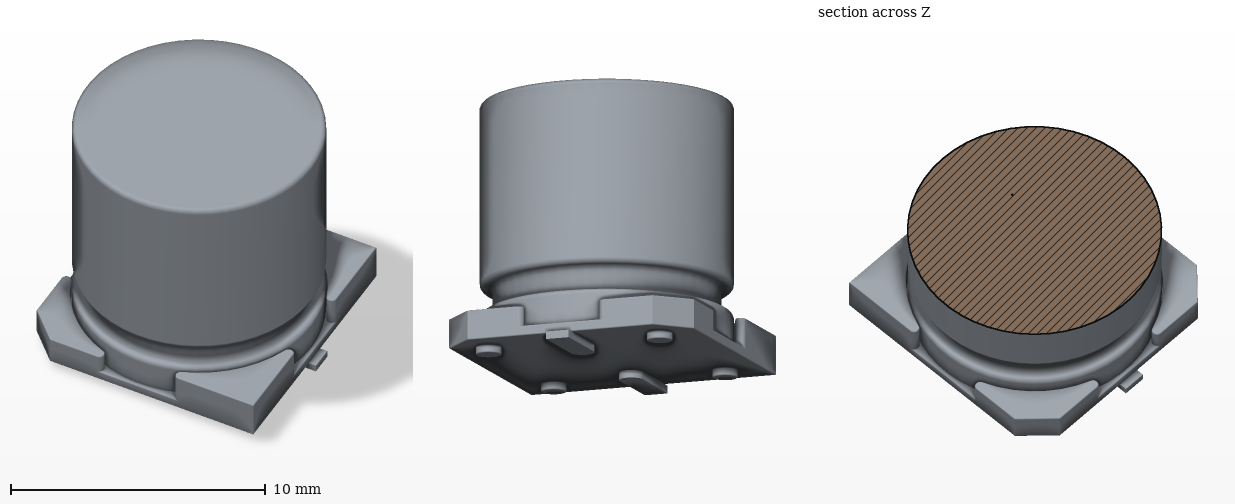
import cadquery as cq

lead_span = 10.9
base_width = 10.3
total_height = 10.5

can_diameter = 10.0
neck_diameter = 9.0
neck_bottom = 2.05
neck_top = 3.1
can_rounding = 0.2

base_bottom = 0.3
floor_height = 0.7
low_corner_height = 1.49
tall_corner_height = 1.9
corner_chamfer = 1.25
seat_diameter = 10.1
notch_half_width = 1.6
corner_tip_rounding = 0.2
edge_rounding = 0.05

lead_width = 0.96
lead_length = 3.23
pin_diameter = 1.0
pin_offset = 3.6
pin_root_fillet = 0.03

half_base = base_width / 2


def make_canister():
    """Can with a crimped neck; the four neck edges and the top rim share one radius."""
    can_radius = can_diameter / 2
    neck_radius = neck_diameter / 2
    blank = cq.Workplane("XY").workplane(offset=base_bottom).circle(can_radius)
    can = blank.extrude(total_height - base_bottom)
    groove = (
        cq.Workplane("XY")
        .workplane(offset=neck_bottom)
        .circle(can_diameter)
        .circle(neck_radius)
        .extrude(neck_top - neck_bottom)
    )
    grooved = can.cut(groove)
    rim_heights = (neck_bottom, neck_top, total_height)
    rims = [
        edge
        for edge in grooved.edges("%CIRCLE").vals()
        if any(abs(edge.Center().z - height) < edge_rounding for height in rim_heights)
    ]
    return grooved.newObject(rims).fillet(can_rounding)


def base_blank(bottom, top):
    """Square block with its two -X corners cut off."""
    return (
        cq.Workplane("XY")
        .workplane(offset=bottom)
        .rect(base_width, base_width)
        .extrude(top - bottom)
        .edges("|Z and <X")
        .chamfer(corner_chamfer)
    )


def make_slab():
    """Bottom plate of the base, rounded along its upper and lower outlines."""
    return base_blank(base_bottom, floor_height).faces("<Z or >Z").edges().fillet(edge_rounding)


def make_corner(x_sign, y_sign, top):
    """Corner post standing on the slab, hollowed to the round seat, with blunt tips."""
    bottom = base_bottom + edge_rounding
    height = top - bottom
    post_size = half_base - notch_half_width
    post_center = half_base - post_size / 2
    quadrant = (
        cq.Workplane("XY")
        .workplane(offset=bottom)
        .center(x_sign * post_center, y_sign * post_center)
        .rect(post_size, post_size)
        .extrude(height)
    )
    seat = cq.Workplane("XY").workplane(offset=bottom).circle(seat_diameter / 2).extrude(height)
    post = base_blank(bottom, top).intersect(quadrant).cut(seat)
    tip_edges = [
        edge
        for edge in post.edges("|Z").vals()
        if min(abs(edge.Center().x), abs(edge.Center().y)) < notch_half_width + edge_rounding
    ]
    blunt_post = post.newObject(tip_edges).fillet(corner_tip_rounding)
    return blunt_post.faces(">Z").edges().fillet(edge_rounding)


def make_lead(x_sign):
    """Flat lead reaching past the base, with a half-round inner end."""
    outer_end = lead_span / 2
    round_center = outer_end - lead_length + lead_width / 2
    straight = outer_end - round_center
    strip = (
        cq.Workplane("XY")
        .center(x_sign * (round_center + straight / 2), 0)
        .rect(straight, lead_width)
        .extrude(base_bottom)
    )
    inner_end = (
        cq.Workplane("XY")
        .center(x_sign * round_center, 0)
        .circle(lead_width / 2)
        .extrude(base_bottom)
    )
    return strip.union(inner_end)


def make_pins():
    """Four round support pins, one under each corner, rounded along the foot."""
    return (
        cq.Workplane("XY")
        .rect(2 * pin_offset, 2 * pin_offset, forConstruction=True)
        .vertices()
        .circle(pin_diameter / 2)
        .extrude(base_bottom)
        .faces("<Z")
        .edges()
        .fillet(edge_rounding)
    )


def make_pinned_slab():
    """Slab with its pins, blended where each pin meets the underside."""
    pinned = make_slab().union(make_pins())
    pin_roots = [
        edge
        for edge in pinned.edges("%CIRCLE").vals()
        if abs(edge.Center().z - base_bottom) < edge_rounding
    ]
    return pinned.newObject(pin_roots).fillet(pin_root_fillet)


result = make_pinned_slab().union(make_canister())
for x_sign, corner_top in ((-1, low_corner_height), (1, tall_corner_height)):
    result = result.union(make_lead(x_sign))
    for y_sign in (-1, 1):
        result = result.union(make_corner(x_sign, y_sign, corner_top))